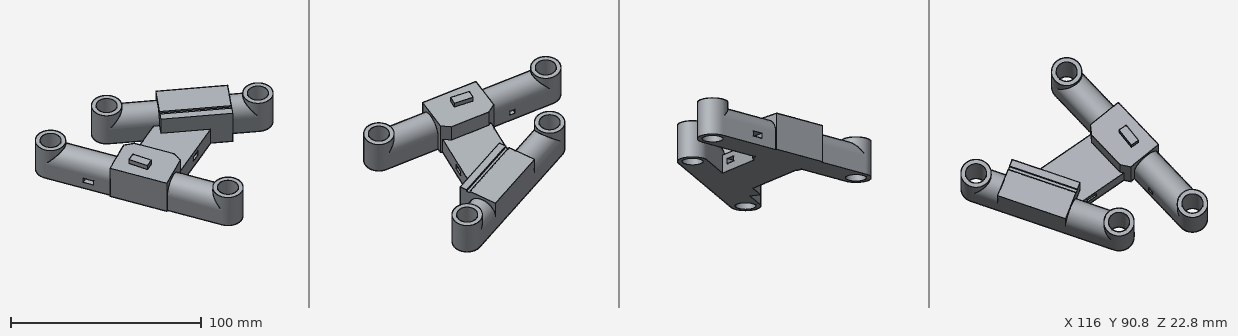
import cadquery as cq

ring_diameter = 16.0
bore_diameter = 11.0
ring_height = 20.0
arm_width = ring_diameter
arm_wall_height = 10.0
lower_arm_span = 100.0
upper_arm_span = 80.0

upper_arm_start_x = -32.5
upper_arm_start_y = 35.95
upper_arm_angle = 28.4

lower_block_left = -13.0
lower_block_right = 19.0
lower_block_front = -8.8
lower_block_back = 14.0
lower_block_corner_x = 4.8
lower_block_corner_y = 3.4

upper_block_start = 27.0
upper_block_length = 38.0
upper_block_front = -14.0
upper_block_back = arm_width / 2
groove_back = -8.0
groove_front = -10.0
groove_depth = 1.0

link_pivot_x = (lower_block_left + lower_block_right) / 2
link_lean = 4.7
link_width = 28.0
link_height = arm_wall_height
link_length = 52.0

tab_length = 10.8
tab_width = 4.7
tab_height = 2.8
tab_offset = -2.6

window_length = 5.8
window_height = 2.8
window_base = 4.2
window_overrun = 1.0
link_window_y = 32.5
arm_window_x = -25.6

arm_window_barb = 2.7
arm_window_barb_depth = 7.5
arm_window_chamfer = 2.0
arm_window_chamfer_depth = 1.7


def box_between(x_min, x_max, y_min, y_max, z_min, z_max):
    """Box given by its limits on each axis."""
    box = cq.Workplane("XY").box(x_max - x_min, y_max - y_min, z_max - z_min, centered=False)
    return box.translate((x_min, y_min, z_min))


def ring_centres(span):
    return [(0, 0), (span, 0)]


def arm_body(span):
    """Arm without its bores, running along +X from a ring at the origin."""
    half_width = arm_width / 2
    crown = (0, arm_wall_height + half_width)
    bar = (
        cq.Workplane("YZ")
        .moveTo(-half_width, 0)
        .lineTo(half_width, 0)
        .lineTo(half_width, arm_wall_height)
        .threePointArc(crown, (-half_width, arm_wall_height))
        .close()
        .extrude(span)
    )
    rings = cq.Workplane("XY").pushPoints(ring_centres(span)).circle(ring_diameter / 2).extrude(ring_height)
    return bar.union(rings)


def arm_bores(span):
    return cq.Workplane("XY").pushPoints(ring_centres(span)).circle(bore_diameter / 2).extrude(ring_height)


def place_upper(shape):
    """Turn and move a shape from the upper arm's own axes to its place on the part."""
    turned = shape.rotate((0, 0, 0), (0, 0, 1), upper_arm_angle)
    return turned.translate((upper_arm_start_x, upper_arm_start_y, 0))


def place_lower(shape):
    return shape.translate((-lower_arm_span / 2, 0, 0))


def place_link(shape):
    """Lean a shape about the pivot and move it there."""
    return shape.rotate((0, 0, 0), (0, 0, 1), -link_lean).translate((link_pivot_x, 0, 0))


def lower_block():
    return (
        cq.Workplane("XY")
        .moveTo(lower_block_left, lower_block_front)
        .lineTo(lower_block_right, lower_block_front)
        .lineTo(lower_block_right, lower_block_back - lower_block_corner_y)
        .lineTo(lower_block_right - lower_block_corner_x, lower_block_back)
        .lineTo(lower_block_left + lower_block_corner_x, lower_block_back)
        .lineTo(lower_block_left, lower_block_back - lower_block_corner_y)
        .close()
        .extrude(ring_height)
    )


def upper_block():
    """Block with a shallow groove along its top, in the upper arm's own axes."""
    end = upper_block_start + upper_block_length
    block = box_between(upper_block_start, end, upper_block_front, upper_block_back, 0, ring_height)
    groove = box_between(
        upper_block_start, end, groove_front, groove_back, ring_height - groove_depth, ring_height
    )
    return block.cut(groove)


def link():
    return box_between(-link_width / 2, link_width / 2, 0, link_length, 0, link_height)


def tab():
    x_min = tab_offset - tab_length / 2
    box = box_between(x_min, x_min + tab_length, -tab_width / 2, tab_width / 2, 0, tab_height)
    return box.translate((0, 0, ring_height))


def arm_window():
    """Window leaning with the link, narrowed by a chamfered barb on its right wall."""
    left = -window_length / 2
    right = window_length / 2
    chamfer_end = arm_window_barb_depth + arm_window_chamfer_depth
    back = arm_width + window_overrun
    passage = (
        cq.Workplane("XY")
        .moveTo(left, -window_overrun)
        .lineTo(right, -window_overrun)
        .lineTo(right, arm_window_barb_depth)
        .lineTo(right - arm_window_chamfer, chamfer_end)
        .lineTo(right - arm_window_barb, chamfer_end)
        .lineTo(right - arm_window_barb, back)
        .lineTo(left, back)
        .close()
        .extrude(window_height)
    )
    leaning = passage.rotate((0, 0, 0), (0, 0, 1), -link_lean)
    return leaning.translate((arm_window_x, -arm_width / 2, window_base))


def link_window():
    y_min = link_window_y - window_length / 2
    return box_between(
        -link_width / 2,
        link_width / 2,
        y_min,
        y_min + window_length,
        window_base,
        window_base + window_height,
    )


result = (
    place_lower(arm_body(lower_arm_span))
    .union(lower_block())
    .union(place_link(link().cut(link_window())))
    .union(place_link(tab()))
    .union(place_upper(arm_body(upper_arm_span).union(upper_block())))
    .cut(place_lower(arm_bores(lower_arm_span)))
    .cut(place_upper(arm_bores(upper_arm_span)))
    .cut(arm_window())
)